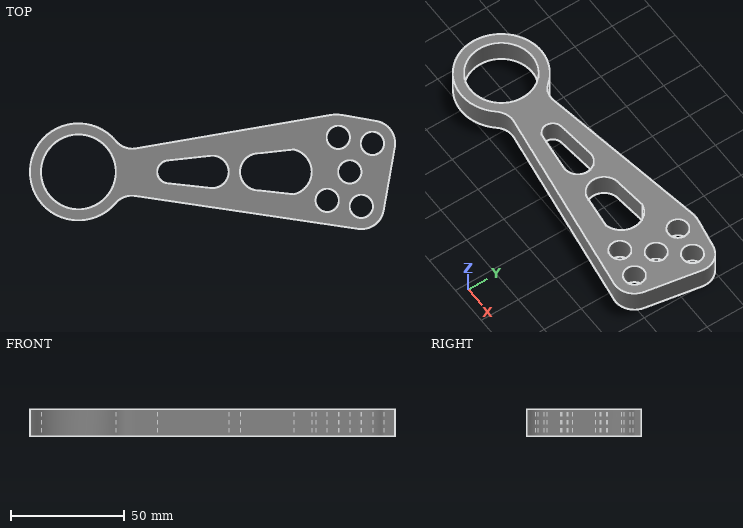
import cadquery as cq
import math

THICKNESS = 12.0

BORE_DIAMETER = 33.0
RING_WALL = 5.0
RING_RADIUS = BORE_DIAMETER / 2 + RING_WALL

PAD_X = 120.0
PAD_ANGLE = -10.0
HOLE_DIAMETER = 10.2
HOLE_SPACING_ALONG = 15.32
HOLE_SPACING_ACROSS = 28.28
PAD_CORNER_RADIUS = HOLE_DIAMETER / 2 + RING_WALL
SHALLOW_CORNER_RADIUS = 15.0

NECK_X = 40.0
NECK_RADIUS = 12.75
BLEND_RADIUS = 9.5

SLOTS = [
    (34.9, 39.5, 5.0, 58.5, 7.05, 66.4),
    (71.5, 79.9, 8.15, 95.2, 9.85, 103.1),
]


def polar(center, radius, angle):
    """Point at the given radius and angle (radians) from a centre."""
    return (center[0] + radius * math.cos(angle), center[1] + radius * math.sin(angle))


def tangent_normal(start, end):
    """Normal angle of the line touching two (x, y, radius) circles on its right-hand side."""
    dx = end[0] - start[0]
    dy = end[1] - start[1]
    heading = math.atan2(dy, dx)
    return heading - math.acos((start[2] - end[2]) / math.hypot(dx, dy))


def wrap_arcs(circles):
    """Start, middle and end of each arc of a belt round the (x, y, radius) circles, counterclockwise."""
    count = len(circles)
    normals = [tangent_normal(circles[i], circles[(i + 1) % count]) for i in range(count)]
    arcs = []
    for i, (x, y, radius) in enumerate(circles):
        arc_start = normals[i - 1]
        sweep = (normals[i] - arc_start) % (2 * math.pi)
        arcs.append([polar((x, y), radius, arc_start + sweep * part) for part in (0, 0.5, 1)])
    return arcs


def corner_holes():
    """Corner hole centres, counterclockwise from the lower left."""
    turn = math.radians(PAD_ANGLE)
    centers = []
    for side_x, side_y in [(-1, -1), (1, -1), (1, 1), (-1, 1)]:
        along = side_x * HOLE_SPACING_ALONG / 2
        across = side_y * HOLE_SPACING_ACROSS / 2
        x = PAD_X + along * math.cos(turn) - across * math.sin(turn)
        y = along * math.sin(turn) + across * math.cos(turn)
        centers.append((x, y))
    return centers


def pad_corners():
    """Corner circles (x, y, radius) of the pad: lower right, upper right, upper left."""
    _, lower_right, upper_right, upper_left = corner_holes()
    inward = math.radians(PAD_ANGLE - 90)
    shallow = polar(upper_left, SHALLOW_CORNER_RADIUS - PAD_CORNER_RADIUS, inward)
    return [
        (*lower_right, PAD_CORNER_RADIUS),
        (*upper_right, PAD_CORNER_RADIUS),
        (*shallow, SHALLOW_CORNER_RADIUS),
    ]


def neck_blend(lower_corner):
    """Fillet between the ring and the lower arm edge: its ring end, midpoint and arm end."""
    neck = (NECK_X, 0, NECK_RADIUS)
    normal = tangent_normal(neck, lower_corner)
    edge_offset = NECK_X * math.cos(normal) + NECK_RADIUS
    reach = RING_RADIUS + BLEND_RADIUS
    bearing = normal + math.acos((edge_offset + BLEND_RADIUS) / reach)
    center = polar((0, 0), reach, bearing)
    ring_end = polar((0, 0), RING_RADIUS, bearing)
    middle = polar(center, BLEND_RADIUS, (bearing + normal) / 2 + math.pi)
    arm_end = polar(center, BLEND_RADIUS, normal + math.pi)
    return ring_end, middle, arm_end


def mirrored(point):
    """The point or circle reflected in the X axis."""
    return (point[0], -point[1]) + tuple(point[2:])


def body():
    """Ring, arm and pad extruded from one counterclockwise outline."""
    corners = pad_corners()
    lower_ring, lower_middle, lower_arm = neck_blend(corners[0])
    upper_ring, upper_middle, upper_arm = map(mirrored, neck_blend(mirrored(corners[-1])))
    wrapped = [(NECK_X, 0, NECK_RADIUS)] + corners
    outline = cq.Workplane("XY").moveTo(*lower_ring).threePointArc(lower_middle, lower_arm)
    for first, middle, last in wrap_arcs(wrapped)[1:]:
        outline = outline.lineTo(*first).threePointArc(middle, last)
    outline = outline.lineTo(*upper_arm).threePointArc(upper_middle, upper_ring)
    outline = outline.threePointArc((-RING_RADIUS, 0), lower_ring)
    return outline.close().extrude(THICKNESS)


def slot(small_tip, small_x, small_half, large_x, large_half, large_tip):
    """Cutter for one tapered slot with arced ends."""
    return (
        cq.Workplane("XY")
        .moveTo(small_x, small_half)
        .threePointArc((small_tip, 0), (small_x, -small_half))
        .lineTo(large_x, -large_half)
        .threePointArc((large_tip, 0), (large_x, large_half))
        .close()
        .extrude(THICKNESS)
    )


def holes():
    """Cutters for the bolt holes and the bearing bore."""
    bolt_centers = corner_holes() + [(PAD_X, 0)]
    bolts = cq.Workplane("XY").pushPoints(bolt_centers).circle(HOLE_DIAMETER / 2).extrude(THICKNESS)
    bore = cq.Workplane("XY").circle(BORE_DIAMETER / 2).extrude(THICKNESS)
    return bolts.union(bore)


result = body().cut(holes())
for slot_sizes in SLOTS:
    result = result.cut(slot(*slot_sizes))